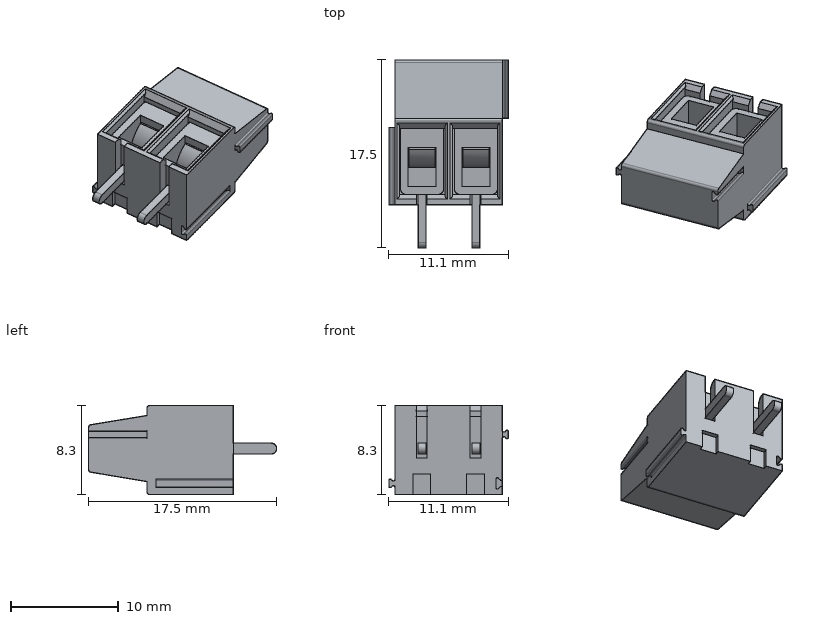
import cadquery as cq
import math

PITCH = 5.0
WAYS = 2
WIDTH = WAYS * PITCH
HEIGHT = 8.3
BLOCK_END = 8.05
NOSE_END = 13.48
NOSE_ROOT_Z = (1.2, 7.37)
NOSE_TIP_Z = (2.12, 6.48)
EDGE_ROUND = 0.26

WALL = 0.21
RECESS_WIDTH = 4.67
RECESS_Y = (0.55, 7.61)
SIDE_BEVEL = 0.23
FRONT_BEVEL = 0.44
REAR_BEVEL = 0.5

CONTACT_WIDTH = 4.0
CONTACT_SHIFT = 0.04
CONTACT_Y = (RECESS_Y[0] + FRONT_BEVEL, RECESS_Y[1] - REAR_BEVEL)
CONTACT_TOP = 7.25
CONTACT_ROUND = 0.5
GAP_DEPTH = 0.52
WINDOW_WIDTH = 2.6
WINDOW_Y = (1.7, 5.32)
BARREL_RADIUS = 2.84
BARREL_WIDTH = 2.4
BARREL_FRONT_Y = 3.48
LEDGE_Y = 5.16
LEDGE_Z = 6.39

SLOT_WIDTH = 1.0
SLOT_FLOOR = 3.41
NOTCH_WIDTH = 1.65
NOTCH_HEIGHT = 1.9
NOTCH_DEPTH = 0.42

PIN_WIDTH = 0.74
PIN_HEIGHT = 1.03
PIN_CENTRE_Z = 4.29
PIN_LENGTH = 4.02

LOWER_Z = 1.05
UPPER_Z = 5.6
LOWER_Y = (0, 7.21)
UPPER_Y = (BLOCK_END, NOSE_END)
RAIL_REACH = 0.55
RAIL_NECK = 0.45
RAIL_HEAD = 0.8
RAIL_LIP = 0.18
GROOVE_DEPTH = 0.6
GROOVE_NECK = 0.55
GROOVE_HEAD = 1.05
GROOVE_LIP = 0.18
PROFILE_ROUND = 0.114
BASE_SIZE = 0.35

slot_xs = [(i - (WAYS - 1) / 2) * PITCH for i in range(WAYS)]
contact_xs = [x + CONTACT_SHIFT for x in slot_xs]
recess_offset = WIDTH / 2 - WALL - RECESS_WIDTH / 2
recess_xs = [-recess_offset, recess_offset]


def box(x_centre, width, y_span, z_span):
    """Box centred on x_centre that fills the given Y and Z spans."""
    size = (width, y_span[1] - y_span[0], z_span[1] - z_span[0])
    corner = (x_centre - width / 2, y_span[0], z_span[0])
    return cq.Workplane("XY").box(*size, centered=False).translate(corner)


def make_housing():
    """Rear-rounded block joined to a tapered nose, both across the full width."""
    block = box(0, WIDTH, (0, BLOCK_END), (0, HEIGHT))
    block = block.faces(">Y").edges("|X").fillet(EDGE_ROUND)
    nose = (
        cq.Workplane("YZ")
        .moveTo(BLOCK_END, NOSE_ROOT_Z[0])
        .lineTo(NOSE_END, NOSE_TIP_Z[0])
        .lineTo(NOSE_END, NOSE_TIP_Z[1])
        .lineTo(BLOCK_END, NOSE_ROOT_Z[1])
        .close()
        .extrude(WIDTH / 2, both=True)
    )
    nose = nose.faces(">Y").edges("|X").fillet(EDGE_ROUND)
    return block.union(nose)


def make_recess(x_centre):
    """Open-topped recess whose walls lean in at 45 degrees before dropping straight down."""
    inner_width = RECESS_WIDTH - 2 * SIDE_BEVEL
    length = RECESS_Y[1] - RECESS_Y[0]
    rim = (
        cq.Workplane("XY", origin=(x_centre, sum(RECESS_Y) / 2, HEIGHT))
        .rect(RECESS_WIDTH, length)
        .workplane(offset=-SIDE_BEVEL)
        .rect(inner_width, length - 2 * SIDE_BEVEL)
        .loft(ruled=True)
    )
    floor_z = CONTACT_TOP - GAP_DEPTH
    well = (
        cq.Workplane("YZ", origin=(x_centre, 0, 0))
        .moveTo(RECESS_Y[0], HEIGHT)
        .lineTo(CONTACT_Y[0], HEIGHT - FRONT_BEVEL)
        .lineTo(CONTACT_Y[0], floor_z)
        .lineTo(CONTACT_Y[1], floor_z)
        .lineTo(CONTACT_Y[1], HEIGHT - REAR_BEVEL)
        .lineTo(RECESS_Y[1], HEIGHT)
        .close()
        .extrude(inner_width / 2, both=True)
    )
    return rim.union(well)


def make_contact(x_centre):
    """Contact block with rounded front corners, rooted in the housing down to the slot floor."""
    block = box(x_centre, CONTACT_WIDTH, CONTACT_Y, (SLOT_FLOOR, CONTACT_TOP))
    return block.faces("<Y").edges("|Z").fillet(CONTACT_ROUND)


def make_window(x_centre):
    """Window in the contact block, less the curved clamp barrel that rises at its rear."""
    axis_y = BARREL_FRONT_Y + BARREL_RADIUS
    axis_z = LEDGE_Z - math.sqrt(BARREL_RADIUS**2 - (axis_y - LEDGE_Y) ** 2)
    ledge_angle = math.atan2(LEDGE_Z - axis_z, axis_y - LEDGE_Y)
    arc_middle = (
        axis_y - BARREL_RADIUS * math.cos(ledge_angle / 2),
        axis_z + BARREL_RADIUS * math.sin(ledge_angle / 2),
    )
    window = box(x_centre, WINDOW_WIDTH, WINDOW_Y, (axis_z, CONTACT_TOP))
    barrel = (
        cq.Workplane("YZ", origin=(x_centre, 0, 0))
        .moveTo(BARREL_FRONT_Y, axis_z)
        .threePointArc(arc_middle, (LEDGE_Y, LEDGE_Z))
        .lineTo(WINDOW_Y[1], LEDGE_Z)
        .lineTo(WINDOW_Y[1], axis_z)
        .close()
        .extrude(BARREL_WIDTH / 2, both=True)
    )
    return window.cut(barrel)


def make_pin(x_centre):
    """Pin running from the contact block out of the front, with a fully rounded tip."""
    radius = PIN_HEIGHT / 2
    z_span = (PIN_CENTRE_Z - radius, PIN_CENTRE_Z + radius)
    shank = box(x_centre, PIN_WIDTH, (radius - PIN_LENGTH, WINDOW_Y[0]), z_span)
    tip = (
        cq.Workplane("YZ", origin=(x_centre, 0, 0))
        .center(radius - PIN_LENGTH, PIN_CENTRE_Z)
        .circle(radius)
        .extrude(PIN_WIDTH / 2, both=True)
    )
    return shank.union(tip)


def dovetail_bar(side, z_centre, y_span, depth, neck, head, lip):
    """Dovetail bar along Y on the side wall (side is -1 for -X, 1 for +X), with all corners rounded.

    The neck leaves a base strip at the wall and flares at 45 degrees to a flat head.
    A positive depth reaches outward from the wall and a negative depth reaches into it.
    """
    reach = abs(depth)
    direction = side if depth > 0 else -side
    upper_half = [
        (-BASE_SIZE, neck / 2 + BASE_SIZE),
        (0, neck / 2 + BASE_SIZE),
        (0, neck / 2),
        (reach - lip - (head - neck) / 2, neck / 2),
        (reach - lip, head / 2),
        (reach, head / 2),
    ]
    lower_half = [(out, -up) for out, up in reversed(upper_half)]
    points = [
        (side * WIDTH / 2 + direction * out, z_centre + up) for out, up in upper_half + lower_half
    ]
    bar = cq.Workplane("XZ").polyline(points).close().extrude(y_span[0] - y_span[1])
    return bar.edges("|Y").fillet(PROFILE_ROUND).translate((0, y_span[0], 0))


def make_rail(side, z_centre, y_span):
    """Rail standing out from the side wall."""
    return dovetail_bar(side, z_centre, y_span, RAIL_REACH, RAIL_NECK, RAIL_HEAD, RAIL_LIP)


def make_groove(side, z_centre, y_span):
    """Cutter for the groove that takes a neighbour's rail."""
    return dovetail_bar(side, z_centre, y_span, -GROOVE_DEPTH, GROOVE_NECK, GROOVE_HEAD, GROOVE_LIP)


result = make_housing()

for x in recess_xs:
    result = result.cut(make_recess(x))
for x in slot_xs:
    result = result.cut(box(x, SLOT_WIDTH, (0, CONTACT_Y[0] + CONTACT_ROUND), (SLOT_FLOOR, HEIGHT)))
    result = result.cut(box(x, NOTCH_WIDTH, (0, NOTCH_DEPTH), (0, NOTCH_HEIGHT)))

for x in contact_xs:
    result = result.union(make_contact(x))
    result = result.cut(make_window(x))
    result = result.union(make_pin(x))

result = result.union(make_rail(-1, LOWER_Z, LOWER_Y))
result = result.union(make_rail(1, UPPER_Z, UPPER_Y))
result = result.cut(make_groove(1, LOWER_Z, LOWER_Y))
result = result.cut(make_groove(-1, UPPER_Z, UPPER_Y))